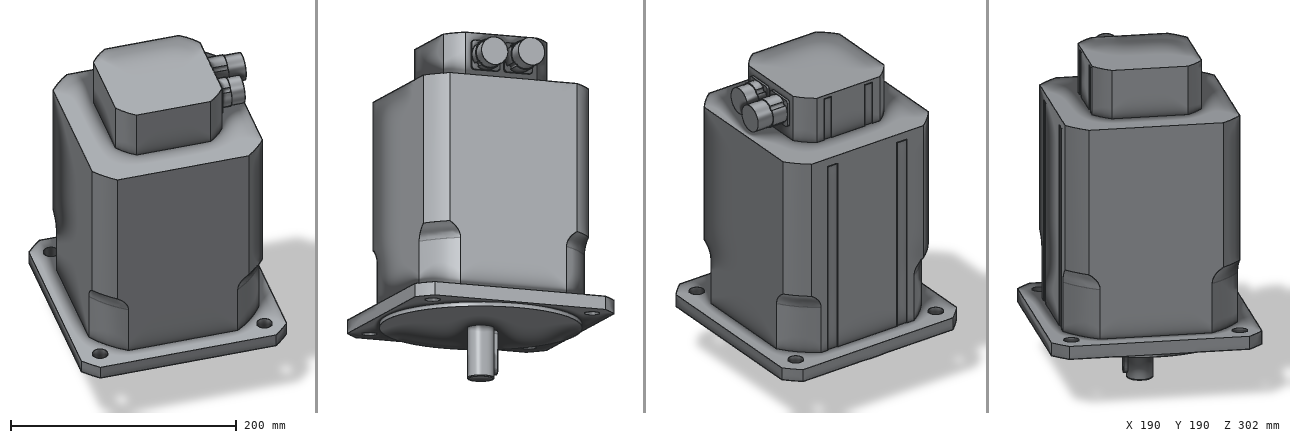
import cadquery as cq


TOTAL_HEIGHT = 302.0
PILOT_BOTTOM_Z = 46.2
PILOT_HEIGHT = 4.0
FLANGE_THICKNESS = 12.0
HOUSING_TOP_Z = 257.0
FLANGE_BOTTOM_Z = PILOT_BOTTOM_Z + PILOT_HEIGHT
FLANGE_TOP_Z = FLANGE_BOTTOM_Z + FLANGE_THICKNESS

FLANGE_WIDTH = 190.0
FLANGE_CORNER_DIAMETER = 250.0
HOUSING_WIDTH = 157.5
HOUSING_CORNER_DIAMETER = 199.0
COVER_WIDTH = 98.8
COVER_CORNER_DIAMETER = 120.2

DIAGONAL_ANGLE = 45

RELIEF_DIAMETER = 187.2
RELIEF_STRAIGHT_TOP_Z = 108.0
RELIEF_TOP_Z = 122.5

PILOT_DIAMETER = 180.0
BOLT_CIRCLE_DIAMETER = 215.0
BOLT_HOLE_DIAMETER = 13.5
BOLT_HOLE_COUNT = 4

SHAFT_DIAMETER = 24.0
SHAFT_CHAMFER = 1.0
KEY_WIDTH = 8.2
KEY_BOTTOM_Z = 4.8
KEY_TOP_Z = 45.3
KEY_OUTER_X = 14.8

HOUSING_GROOVE_WIDTH = 10.5
HOUSING_GROOVE_SPACING = 75.2
HOUSING_GROOVE_TOP_Z = 248.5
COVER_GROOVE_WIDTH = 8.0
COVER_GROOVE_SPACING = 44.5
COVER_GROOVE_TOP_Z = 298.5
GROOVE_DEPTH = 1.0

CONNECTOR_SPACING = 31.0
CONNECTOR_Z = 281.8
PLATE_WIDTH = 26.5
PLATE_THICKNESS = 2.5
PLATE_CORNER_RADIUS = 2.7
NUT_DIAMETER = PLATE_WIDTH
NUT_FLUTE_DIAMETER = 4.2
NUT_FLUTE_COUNT = 4
BARREL_DIAMETER = 25.0
LONG_NUT_LENGTH = 15.0
LONG_BARREL_LENGTH = 16.0
SHORT_NUT_LENGTH = 8.5
SHORT_BARREL_LENGTH = 12.5


def cylinder_up(diameter, bottom_z, top_z):
    """Cylinder on the motor axis."""
    return cq.Workplane("XY").workplane(offset=bottom_z).circle(diameter / 2).extrude(top_z - bottom_z)


def rounded_block(width, corner_diameter, bottom_z, top_z):
    """Square block whose corners lie on a cylinder around the motor axis."""
    block = cq.Workplane("XY").workplane(offset=bottom_z).rect(width, width).extrude(top_z - bottom_z)
    return block.intersect(cylinder_up(corner_diameter, bottom_z, top_z))


def flange():
    plate = rounded_block(FLANGE_WIDTH, FLANGE_CORNER_DIAMETER, FLANGE_BOTTOM_Z, FLANGE_TOP_Z)
    bolt_holes = (
        cq.Workplane("XY")
        .workplane(offset=FLANGE_BOTTOM_Z)
        .polarArray(BOLT_CIRCLE_DIAMETER / 2, DIAGONAL_ANGLE, 360, BOLT_HOLE_COUNT)
        .circle(BOLT_HOLE_DIAMETER / 2)
        .extrude(FLANGE_THICKNESS)
    )
    pilot = cylinder_up(PILOT_DIAMETER, PILOT_BOTTOM_Z, FLANGE_BOTTOM_Z)
    return plate.union(pilot).cut(bolt_holes)


def housing_envelope():
    """Revolved limit of the housing corners: narrow at the bottom, flaring out in an arc."""
    relief_radius = RELIEF_DIAMETER / 2
    corner_radius = HOUSING_CORNER_DIAMETER / 2
    return (
        cq.Workplane("XZ")
        .moveTo(0, FLANGE_TOP_Z)
        .lineTo(relief_radius, FLANGE_TOP_Z)
        .lineTo(relief_radius, RELIEF_STRAIGHT_TOP_Z)
        .tangentArcPoint((corner_radius, RELIEF_TOP_Z), relative=False)
        .lineTo(corner_radius, HOUSING_TOP_Z)
        .lineTo(0, HOUSING_TOP_Z)
        .close()
        .revolve(360, (0, 0, 0), (0, 1, 0))
    )


def groove_pair(block_width, groove_width, spacing, bottom_z, top_z):
    """Two upright grooves, side by side, that cut into the -X face of a block."""
    height = top_z - bottom_z
    middle_z = bottom_z + height / 2
    return (
        cq.Workplane("YZ")
        .workplane(offset=-block_width / 2)
        .pushPoints([(-spacing / 2, middle_z), (spacing / 2, middle_z)])
        .rect(groove_width, height)
        .extrude(GROOVE_DEPTH)
    )


def housing():
    height = HOUSING_TOP_Z - FLANGE_TOP_Z
    block = (
        cq.Workplane("XY")
        .workplane(offset=FLANGE_TOP_Z)
        .rect(HOUSING_WIDTH, HOUSING_WIDTH)
        .extrude(height)
    )
    grooves = groove_pair(
        HOUSING_WIDTH, HOUSING_GROOVE_WIDTH, HOUSING_GROOVE_SPACING, FLANGE_TOP_Z, HOUSING_GROOVE_TOP_Z
    )
    return block.intersect(housing_envelope()).cut(grooves)


def cover():
    block = rounded_block(COVER_WIDTH, COVER_CORNER_DIAMETER, HOUSING_TOP_Z, TOTAL_HEIGHT)
    grooves = groove_pair(
        COVER_WIDTH, COVER_GROOVE_WIDTH, COVER_GROOVE_SPACING, HOUSING_TOP_Z, COVER_GROOVE_TOP_Z
    )
    return block.cut(grooves)


def keyed_shaft():
    shaft = cylinder_up(SHAFT_DIAMETER, 0, PILOT_BOTTOM_Z).faces("<Z").chamfer(SHAFT_CHAMFER)
    key_length = KEY_TOP_Z - KEY_BOTTOM_Z
    key = (
        cq.Workplane("YZ")
        .center(0, KEY_BOTTOM_Z + key_length / 2)
        .slot2D(key_length, KEY_WIDTH, 90)
        .extrude(-KEY_OUTER_X)
    )
    return shaft.union(key)


def motor():
    return keyed_shaft().union(flange()).union(housing()).union(cover())


def connector(x, nut_length, barrel_length):
    """Corner-rounded plate on the cover, then a fluted round nut, then a plain barrel, along +Y."""
    plate = (
        cq.Workplane("XY")
        .rect(PLATE_WIDTH, PLATE_WIDTH)
        .extrude(PLATE_THICKNESS)
        .edges("|Z")
        .fillet(PLATE_CORNER_RADIUS)
    )
    nut = cq.Workplane("XY").workplane(offset=PLATE_THICKNESS).circle(NUT_DIAMETER / 2).extrude(nut_length)
    flutes = (
        cq.Workplane("XY")
        .workplane(offset=PLATE_THICKNESS)
        .polarArray(NUT_DIAMETER / 2, DIAGONAL_ANGLE, 360, NUT_FLUTE_COUNT)
        .circle(NUT_FLUTE_DIAMETER / 2)
        .extrude(nut_length)
    )
    barrel = (
        cq.Workplane("XY")
        .workplane(offset=PLATE_THICKNESS + nut_length)
        .circle(BARREL_DIAMETER / 2)
        .extrude(barrel_length)
    )
    body = plate.union(nut.cut(flutes)).union(barrel)
    return body.rotate((0, 0, 0), (1, 0, 0), -90).translate((x, COVER_WIDTH / 2, CONNECTOR_Z))


connector_sizes = [
    (-CONNECTOR_SPACING / 2, LONG_NUT_LENGTH, LONG_BARREL_LENGTH),
    (CONNECTOR_SPACING / 2, SHORT_NUT_LENGTH, SHORT_BARREL_LENGTH),
]
connectors = [connector(x, nut, barrel).val() for x, nut, barrel in connector_sizes]

result = cq.Compound.makeCompound([motor().val(), *connectors])